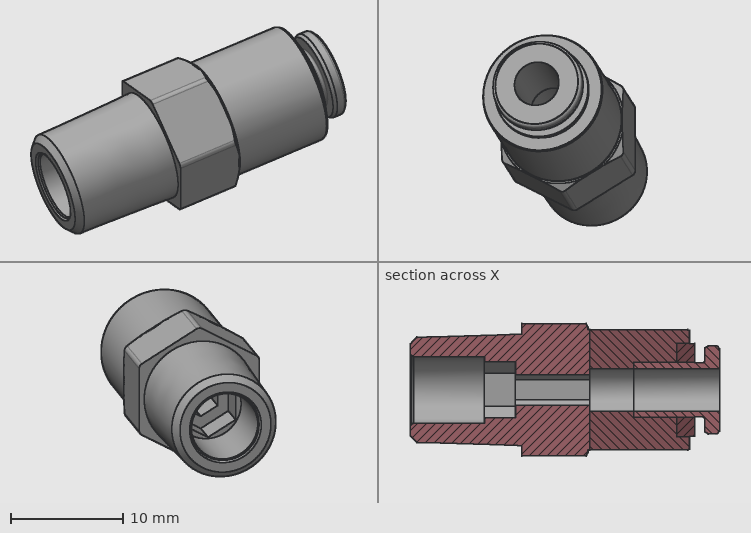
import cadquery as cq
import math

LENGTH = 27.6

HEX_WIDTH = 11.0
HEX_CORNER_RADIUS = 0.5
HEX_START = 9.93
HEX_END = 15.86
HEX_CHAMFER_RADIUS = 5.63
HEX_CHAMFER_ANGLE = 30.0
COLLAR_LENGTH = 0.15
THREAD_ROOT_RADIUS = 5.05
THREAD_TIP_RADIUS = 4.77
TIP_CHAMFER = 0.6
BORE_RADIUS = 3.03
BORE_DEPTH = 6.62
MOUTH_RADIUS = 3.28
MOUTH_SEAT_RADIUS = 3.12
MOUTH_CHAMFER_DEPTH = 0.17
MOUTH_DEPTH = 0.33
SOCKET_WIDTH = 5.05
SOCKET_DEPTH = 2.75
PASSAGE_WIDTH = 3.1

SLEEVE_RADIUS = 5.44
SLEEVE_END = 24.89
SLEEVE_CHAMFER_LENGTH = 0.17
SLEEVE_CHAMFER_RISE = 0.08
TUBE_RADIUS = 2.01

GUIDE_RADIUS = 4.22
GUIDE_END = 25.35
GUIDE_RECESS = 1.1

NECK_RADIUS = 2.55
NECK_FILLET = 0.25
BUSH_INSERTION = 4.97
FLANGE_RADIUS = 4.03
FLANGE_START = 26.25
FLANGE_OUTER_FILLET = 0.28
RIM_HEIGHT = 0.08
FLANGE_INNER_CHAMFER = 0.33
FLANGE_INNER_CHAMFER_RISE = 0.2

bush_start = SLEEVE_END - BUSH_INSERTION
sleeve_start = HEX_END + COLLAR_LENGTH
guide_start = SLEEVE_END - GUIDE_RECESS


def turned(points):
    """Revolve a closed outline of (radius, Y) points about the Y axis."""
    return cq.Workplane("XY").polyline(points).close().revolve(360, (0, 0), (0, 1))


def cylinder(radius, start, end):
    """Cylinder on the Y axis between two Y positions."""
    return turned([(0, start), (radius, start), (radius, end), (0, end)])


def hex_prism(width, start, end):
    """Hexagonal prism on the Y axis, with flats on the +X and -X sides and corners up and down."""
    across_corners = width / math.cos(math.pi / 6)
    return (
        cq.Workplane("XZ", origin=(0, start, 0))
        .transformed(rotate=(0, 0, 90))
        .polygon(6, across_corners)
        .extrude(start - end)
    )


def make_hexagon():
    """Spanner hexagon with rounded corners and one conically chamfered end."""
    hexagon = hex_prism(HEX_WIDTH, HEX_START, HEX_END).edges("|Y").fillet(HEX_CORNER_RADIUS)
    cone_radius = HEX_WIDTH
    cone_drop = (cone_radius - HEX_CHAMFER_RADIUS) * math.tan(math.radians(HEX_CHAMFER_ANGLE))
    envelope = turned([
        (0, HEX_START),
        (cone_radius, HEX_START),
        (cone_radius, HEX_END - cone_drop),
        (HEX_CHAMFER_RADIUS, HEX_END),
        (0, HEX_END),
    ])
    return hexagon.intersect(envelope)


def make_stud():
    """Male thread and hexagon, bored from the thread end and pierced by the hexagonal passage."""
    thread = turned([
        (0, 0),
        (THREAD_TIP_RADIUS - TIP_CHAMFER, 0),
        (THREAD_TIP_RADIUS, TIP_CHAMFER),
        (THREAD_ROOT_RADIUS, HEX_START),
        (0, HEX_START),
    ])
    bore = turned([
        (0, 0),
        (MOUTH_RADIUS, 0),
        (MOUTH_SEAT_RADIUS, MOUTH_CHAMFER_DEPTH),
        (BORE_RADIUS, MOUTH_DEPTH),
        (BORE_RADIUS, BORE_DEPTH),
        (0, BORE_DEPTH),
    ])
    collar = cylinder(SLEEVE_RADIUS, HEX_END, sleeve_start)
    socket = hex_prism(SOCKET_WIDTH, BORE_DEPTH, BORE_DEPTH + SOCKET_DEPTH)
    passage = hex_prism(PASSAGE_WIDTH, 0, sleeve_start)
    return thread.union(make_hexagon()).union(collar).cut(bore).cut(socket).cut(passage)


def make_sleeve():
    """Round sleeve with a tube bore, a bush bore and a recess for the guide ring."""
    return (
        turned([
            (0, sleeve_start),
            (SLEEVE_RADIUS, sleeve_start),
            (SLEEVE_RADIUS, SLEEVE_END - SLEEVE_CHAMFER_LENGTH),
            (SLEEVE_RADIUS - SLEEVE_CHAMFER_RISE, SLEEVE_END),
            (0, SLEEVE_END),
        ])
        .cut(cylinder(TUBE_RADIUS, sleeve_start, SLEEVE_END))
        .cut(cylinder(NECK_RADIUS, bush_start, SLEEVE_END))
        .cut(cylinder(GUIDE_RADIUS, guide_start, SLEEVE_END))
    )


def make_guide_ring():
    """Plain ring around the neck of the release bush, standing out of the sleeve."""
    return cylinder(GUIDE_RADIUS, guide_start, GUIDE_END).cut(cylinder(NECK_RADIUS, guide_start, GUIDE_END))


def make_release_bush():
    """Flanged bush that carries the tube; its neck slides in the guide ring."""
    flange_end = LENGTH - RIM_HEIGHT
    rim_radius = FLANGE_RADIUS - FLANGE_OUTER_FILLET
    shoulder = FLANGE_START - NECK_FILLET
    outline = (
        cq.Workplane("XY")
        .moveTo(TUBE_RADIUS, bush_start)
        .lineTo(NECK_RADIUS, bush_start)
        .lineTo(NECK_RADIUS, shoulder)
        .radiusArc((NECK_RADIUS + NECK_FILLET, FLANGE_START), NECK_FILLET)
        .lineTo(FLANGE_RADIUS - FLANGE_INNER_CHAMFER_RISE, FLANGE_START)
        .lineTo(FLANGE_RADIUS, FLANGE_START + FLANGE_INNER_CHAMFER)
        .lineTo(FLANGE_RADIUS, flange_end - FLANGE_OUTER_FILLET)
        .radiusArc((rim_radius, flange_end), -FLANGE_OUTER_FILLET)
        .lineTo(rim_radius, LENGTH)
        .lineTo(TUBE_RADIUS, LENGTH)
        .close()
    )
    return outline.revolve(360, (0, 0), (0, 1))


stud = make_stud()
sleeve = make_sleeve()
guide_ring = make_guide_ring()
release_bush = make_release_bush()

result = cq.Compound.makeCompound([stud.val(), sleeve.val(), guide_ring.val(), release_bush.val()])